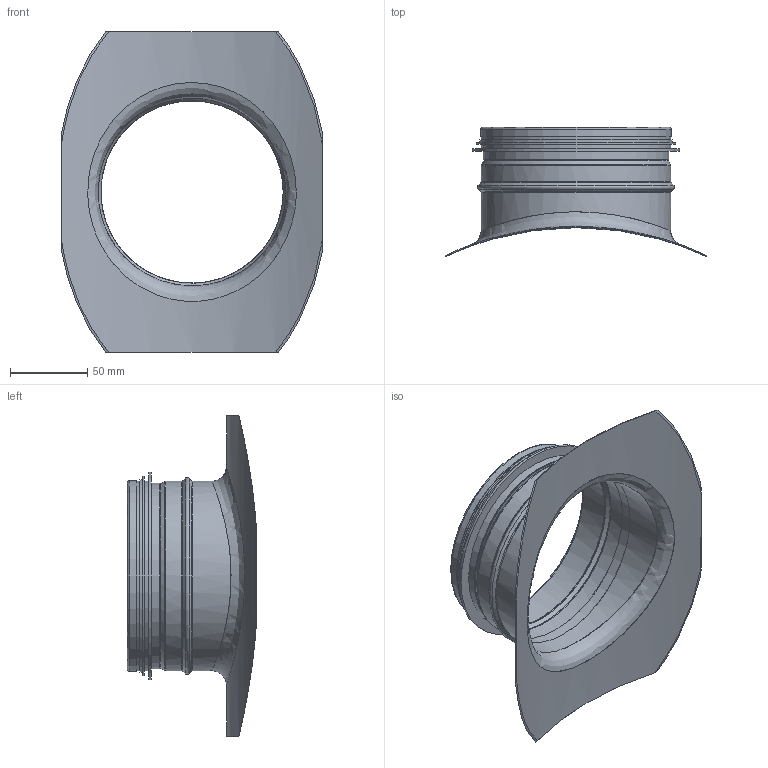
import cadquery as cq
import math


sheet = 0.5
overall_depth = 83.83

wall_outer_r = 123.05 / 2
wall_inner_r = wall_outer_r - sheet
neck_inner_r = 118.25 / 2
neck_outer_r = neck_inner_r + sheet
hem_outer_r = 124.05 / 2
hem_inner_r = hem_outer_r - sheet
hem_fold_r = (hem_outer_r - neck_inner_r) / 2
hem_end_depth = 6.1

step_angle = math.radians(30)
step_start_depth = 21.15
step_end_depth = step_start_depth + (wall_outer_r - neck_outer_r) / math.tan(step_angle)
step_bend_r = 1.2

bead_depth = 38.9
bead_height = 2.4
bead_crest_r = 1.77
bead_root_r = 1.0
bead_flank_angle = math.radians(45)
bead_crest_half = bead_crest_r * math.sin(bead_flank_angle)
bead_flank_top_r = wall_outer_r + bead_height - bead_crest_r * (1 - math.cos(bead_flank_angle))
bead_flank_foot_r = wall_outer_r + bead_root_r * (1 - math.cos(bead_flank_angle))
bead_flank_length = (bead_flank_top_r - bead_flank_foot_r) / math.tan(bead_flank_angle)
bead_foot_half = bead_crest_half + bead_flank_length
bead_half = bead_foot_half + bead_root_r * math.sin(bead_flank_angle)
bead_start_depth = bead_depth - bead_half
bead_end_depth = bead_depth + bead_half

saddle_inner_r = 200.0
saddle_outer_r = saddle_inner_r + sheet
saddle_width = 170.0
saddle_height = 208.0
saddle_edge_sag = saddle_inner_r - math.sqrt(saddle_inner_r**2 - (saddle_width / 2) ** 2)
saddle_crown_depth = overall_depth - saddle_edge_sag
saddle_axis_depth = saddle_crown_depth + saddle_inner_r
junction_inner_r = 10.0
junction_outer_r = junction_inner_r - sheet
trim_crest_depth = 84.8
trim_corner_depth = 72.3

seal_sleeve_r = 120.45 / 2
seal_sleeve_end_depth = step_start_depth - step_bend_r * math.tan(step_angle / 2)
seal_rim_r = 125.05 / 2
seal_rim_start_depth = 7.9
small_lip_r = 129.45 / 2
small_lip_start_depth = 9.8
small_lip_end_depth = 11.0
large_lip_r = 134.45 / 2
large_lip_start_depth = 13.8
large_lip_end_depth = 15.5


def revolve_about_y(profile):
    return profile.close().revolve(360, (0, 0, 0), (0, 1, 0))


def round_bar(radius, start_depth, end_depth):
    """Solid cylinder on the collar axis."""
    bar = cq.Workplane("XZ", origin=(0, -start_depth, 0))
    return bar.circle(radius).extrude(end_depth - start_depth)


def saddle_cylinder(radius):
    """Solid cylinder along Z on the axis of the saddle's curvature."""
    cylinder = cq.Workplane("XY", origin=(0, -saddle_axis_depth, -saddle_height / 2))
    return cylinder.circle(radius).extrude(saddle_height)


def saddle_envelope():
    """Block that trims the saddle: flat ends, flat sides and an arc seen along X."""
    half_height = saddle_height / 2
    return (
        cq.Workplane("YZ", origin=(-saddle_width / 2, 0, 0))
        .moveTo(0, -half_height)
        .lineTo(-trim_corner_depth, -half_height)
        .threePointArc((-trim_crest_depth, 0), (-trim_corner_depth, half_height))
        .lineTo(0, half_height)
        .close()
        .extrude(saddle_width)
    )


def junction_form(saddle_r, pipe_r, blend_r, start_depth):
    """Saddle cylinder with a pipe standing on it and the corner between them rounded."""
    pipe = round_bar(pipe_r, start_depth, saddle_axis_depth)
    form = saddle_cylinder(saddle_r).union(pipe)
    corner = cq.selectors.BoxSelector(
        (-pipe_r - 1, -overall_depth, -pipe_r - 1),
        (pipe_r + 1, -start_depth - 1, pipe_r + 1),
    )
    return form.edges(corner).fillet(blend_r)


def make_saddle():
    """Curved sheet plate flowing into the plain pipe up to the bead."""
    outer = junction_form(saddle_outer_r, wall_outer_r, junction_outer_r, bead_end_depth)
    inner = junction_form(saddle_inner_r, wall_inner_r, junction_inner_r, bead_end_depth)
    return outer.cut(inner).intersect(saddle_envelope())


def make_neck():
    """Wall up to the bead, conical step, reduced neck and the hem folded back at its end."""
    inner_shift = sheet * math.tan(step_angle / 2)
    neck = revolve_about_y(
        cq.Workplane("XY")
        .moveTo(neck_inner_r, -hem_fold_r)
        .threePointArc((neck_inner_r + hem_fold_r, 0), (hem_outer_r, -hem_fold_r))
        .lineTo(hem_outer_r, -hem_end_depth)
        .lineTo(hem_inner_r, -hem_end_depth)
        .lineTo(hem_inner_r, -hem_fold_r)
        .threePointArc((neck_inner_r + hem_fold_r, -sheet), (neck_outer_r, -hem_fold_r))
        .lineTo(neck_outer_r, -step_start_depth)
        .lineTo(wall_outer_r, -step_end_depth)
        .lineTo(wall_outer_r, -bead_start_depth)
        .lineTo(wall_inner_r, -bead_start_depth)
        .lineTo(wall_inner_r, -step_end_depth - inner_shift)
        .lineTo(neck_inner_r, -step_start_depth - inner_shift)
    )
    step_bends = cq.selectors.BoxSelector(
        (-hem_outer_r, -step_end_depth - step_bend_r, -hem_outer_r),
        (hem_outer_r, -step_start_depth + step_bend_r, hem_outer_r),
    )
    return neck.edges(step_bends).fillet(step_bend_r)


def make_bead():
    """Raised ring with straight flanks, a round crest and rounded roots."""
    root_mid_half = bead_half - bead_root_r * math.sin(bead_flank_angle / 2)
    root_mid_r = wall_outer_r + bead_root_r * (1 - math.cos(bead_flank_angle / 2))
    return revolve_about_y(
        cq.Workplane("XY", origin=(0, -bead_depth, 0))
        .moveTo(wall_inner_r, bead_half)
        .lineTo(wall_outer_r, bead_half)
        .threePointArc((root_mid_r, root_mid_half), (bead_flank_foot_r, bead_foot_half))
        .lineTo(bead_flank_top_r, bead_crest_half)
        .threePointArc((wall_outer_r + bead_height, 0), (bead_flank_top_r, -bead_crest_half))
        .lineTo(bead_flank_foot_r, -bead_foot_half)
        .threePointArc((root_mid_r, -root_mid_half), (wall_outer_r, -bead_half))
        .lineTo(wall_inner_r, -bead_half)
    )


def make_seal():
    """Rubber seal held under the hem, with a small and a large lip and a thin sleeve."""
    return revolve_about_y(
        cq.Workplane("XY")
        .moveTo(neck_outer_r, -hem_fold_r)
        .lineTo(hem_inner_r, -hem_fold_r)
        .lineTo(hem_inner_r, -seal_rim_start_depth)
        .lineTo(seal_rim_r, -seal_rim_start_depth)
        .lineTo(seal_rim_r, -small_lip_start_depth)
        .lineTo(small_lip_r, -small_lip_start_depth)
        .lineTo(small_lip_r, -small_lip_end_depth)
        .lineTo(hem_inner_r, -small_lip_end_depth)
        .lineTo(hem_inner_r, -large_lip_start_depth)
        .lineTo(large_lip_r, -large_lip_start_depth)
        .lineTo(large_lip_r, -large_lip_end_depth)
        .lineTo(seal_sleeve_r, -large_lip_end_depth)
        .lineTo(seal_sleeve_r, -seal_sleeve_end_depth)
        .lineTo(neck_outer_r, -seal_sleeve_end_depth)
    )


collar = make_saddle().union(make_neck()).union(make_bead())
seal = make_seal()

result = cq.Compound.makeCompound([collar.val(), seal.val()])